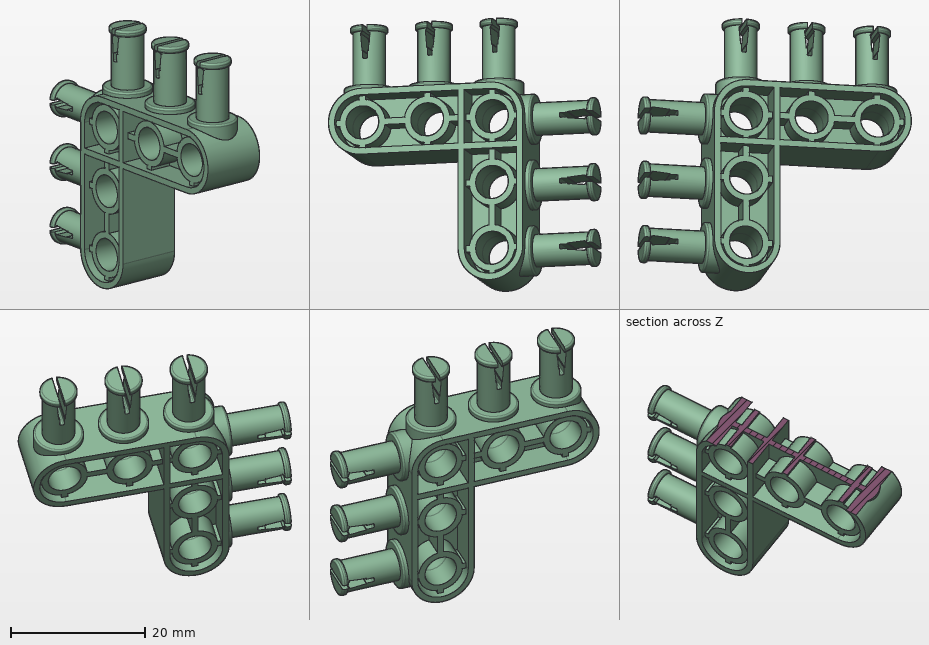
import cadquery as cq

pitch = 10.0
holes_per_arm = 3
beam_width = pitch
wall = 0.95
web = 0.95

hole_diameter = 5.0
hub_diameter = 7.0
rib_width = wall
recess = 0.95

overall_length = 40.1
collar_diameter = 7.5
collar_height = 0.85
collar_fillet = 0.3
shaft_diameter = 4.9
head_diameter = 5.57
head_height = 0.95
head_fillet = 0.32

slot_width = 0.72
slot_flare_width = 1.45
slot_taper_width = 0.95
slot_flare_depth = 1.3
slot_taper_depth = 3.9
slot_depth = 5.15
slot_end_fillet = 0.2

radius = beam_width / 2
inner_radius = radius - wall
arm_reach = pitch * (holes_per_arm - 1)
pin_reach = overall_length - arm_reach - beam_width
stations = [i * pitch for i in range(holes_per_arm)]
hole_centres = [(x, 0) for x in stations] + [(0, -x) for x in stations[1:]]


def prism(outline, thickness):
    """Extrude an XZ outline symmetrically about the plane Y = 0."""
    return outline.extrude(thickness / 2, both=True)


def arm_outline(start, half_width):
    """X arm outline from a square end at start to a round end about the last hole."""
    return (
        cq.Workplane("XZ")
        .moveTo(start, half_width)
        .lineTo(arm_reach, half_width)
        .threePointArc((arm_reach + half_width, 0), (arm_reach, -half_width))
        .lineTo(start, -half_width)
        .close()
    )


def corner_outline(half_width):
    """Square outline about the corner hole with its outer corner rounded."""
    diagonal = half_width / 2 ** 0.5
    return (
        cq.Workplane("XZ")
        .moveTo(-half_width, 0)
        .threePointArc((-diagonal, diagonal), (0, half_width))
        .lineTo(half_width, half_width)
        .lineTo(half_width, -half_width)
        .lineTo(-half_width, -half_width)
        .close()
    )


def turn_down(shape):
    """Turn a shape of the X arm a quarter turn so that it lies on the Z arm."""
    return shape.rotate((0, 0, 0), (0, 1, 0), 90)


def turn_left(shape):
    """Turn an upright shape a quarter turn so that it points toward -X."""
    return shape.rotate((0, 0, 0), (0, 1, 0), -90)


def make_solid_beam():
    arm = prism(arm_outline(0, radius), beam_width)
    corner = prism(corner_outline(radius), beam_width)
    return corner.union(arm).union(turn_down(arm))


def make_pockets():
    """Pockets of the corner and both arms, parted at mid-thickness by the web."""
    arm = prism(arm_outline(radius, inner_radius), beam_width)
    corner = prism(corner_outline(inner_radius), beam_width)
    floor_size = 2 * overall_length
    floor = cq.Workplane("XY").box(floor_size, web, floor_size)
    return corner.union(arm).union(turn_down(arm)).cut(floor)


def make_hubs_and_ribs():
    """Hubs around the holes, cross ribs at each hub and a spine rib along each arm."""
    thickness = beam_width - 2 * recess
    cross_length = beam_width - wall
    hubs = prism(cq.Workplane("XZ").pushPoints(hole_centres).circle(hub_diameter / 2), thickness)
    across = prism(cq.Workplane("XZ").pushPoints(hole_centres).rect(rib_width, cross_length), thickness)
    along = prism(cq.Workplane("XZ").pushPoints(hole_centres).rect(cross_length, rib_width), thickness)
    spine = prism(cq.Workplane("XZ").center(arm_reach / 2, 0).rect(arm_reach, rib_width), thickness)
    return hubs.union(across).union(along).union(spine).union(turn_down(spine))


def make_pin():
    """Upright slotted pin on the Z axis; its collar starts inside the beam."""
    tip = radius + pin_reach
    collar_top = radius + collar_height
    head_base = tip - head_height
    collar = (
        cq.Workplane("XY")
        .circle(collar_diameter / 2)
        .extrude(collar_top)
        .faces(">Z").edges().fillet(collar_fillet)
    )
    shaft = cq.Workplane("XY").workplane(offset=radius).circle(shaft_diameter / 2).extrude(pin_reach)
    head = (
        cq.Workplane("XY").workplane(offset=head_base)
        .circle(head_diameter / 2)
        .extrude(head_height)
        .edges().fillet(head_fillet)
    )
    slot_half_outline = [
        (slot_width / 2, tip),
        (slot_width / 2, head_base),
        (slot_flare_width / 2, tip - slot_flare_depth),
        (slot_taper_width / 2, tip - slot_taper_depth),
        (slot_width / 2, tip - slot_taper_depth),
        (slot_width / 2, tip - slot_depth),
    ]
    mirrored_half = [(-x, z) for x, z in reversed(slot_half_outline)]
    slot = prism(cq.Workplane("XZ").polyline(slot_half_outline + mirrored_half).close(), beam_width)
    slot = slot.faces("<Z").edges("|Y").fillet(slot_end_fillet)
    return collar.union(shaft).union(head).cut(slot)


def make_pins():
    pin = make_pin()
    pins = cq.Workplane("XY")
    for offset in stations:
        pins = pins.union(pin.translate((offset, 0, 0)))
        pins = pins.union(turn_left(pin).translate((0, 0, -offset)))
    return pins


holes = prism(cq.Workplane("XZ").pushPoints(hole_centres).circle(hole_diameter / 2), beam_width)

result = (
    make_solid_beam()
    .union(make_pins())
    .cut(make_pockets())
    .union(make_hubs_and_ribs())
    .cut(holes)
)